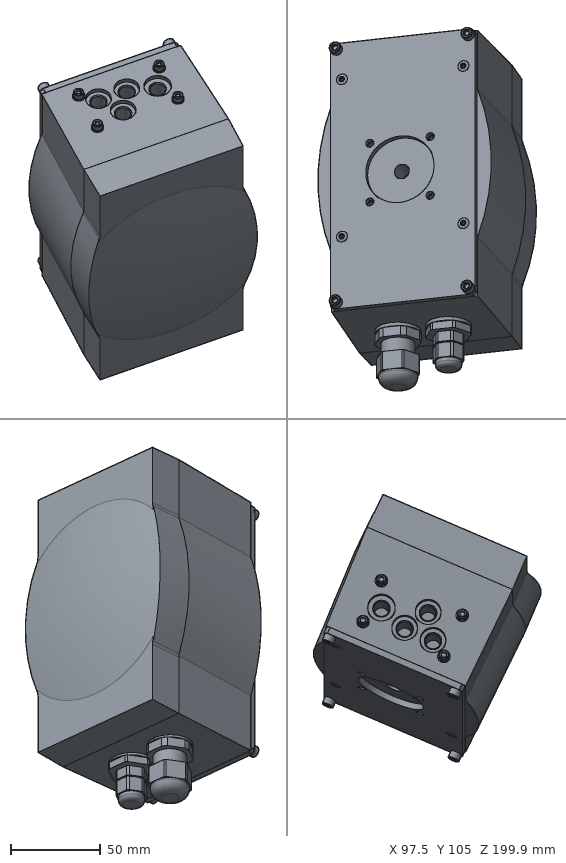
import cadquery as cq


OVERALL_HEIGHT = 199.9

JOINT_HALF_WIDTH = 44.5
JOINT_HALF_HEIGHT = 81.8
JOINT_BULGE = 52.5
BULGE_HALF_HEIGHT = 44.5
BASE_DEPTH = 61.0
BASE_DRAFT = 1.8
DRAFT_SLOPE = BASE_DRAFT / BASE_DEPTH

LID_FLAT_X = 82.0
DOME_TOP_X = 89.8
DOME_RIM_RADIUS = 60.5
LID_DRAFT = 0.7
BULGE_BLEND_RADIUS = 6.0

PLATE_THICKNESS = 3.5
PLATE_WIDTH = 84.8
PLATE_HEIGHT = 2 * (JOINT_HALF_HEIGHT - BASE_DRAFT)
PLATE_CORNER_CHAMFER = 2.0

SHAFT_Y = 1.5
SHAFT_OPENING_DIAMETER = 40.0
SHAFT_BORE_DIAMETER = 8.5
SHAFT_BORE_DEPTH = 16.0
FIXING_HOLE_SPACING = 35.4
FIXING_HOLE_DIAMETER = 4.5
FIXING_THREAD_DIAMETER = 3.2
FIXING_THREAD_DEPTH = 6.0
FIXING_HOLES = [
    (SHAFT_Y + side_y * FIXING_HOLE_SPACING / 2, side_z * FIXING_HOLE_SPACING / 2)
    for side_y in (-1, 1)
    for side_z in (-1, 1)
]

RAISED_HEAD_DIAMETER = 6.4
RAISED_HEAD_TOP_DIAMETER = 3.2
RAISED_HEAD_HEIGHT = 0.5
RAISED_HEAD_SOCKET_DIAMETER = 2.0
RAISED_HEAD_SOCKET_DEPTH = 1.5
RAISED_HEAD_Y = 35.5
RAISED_HEAD_UPPER_Z = 58.0
RAISED_HEAD_LOWER_Z = -36.8

CORNER_SCREW_INSET = 3.8
CORNER_SCREW_DIAMETER = 6.5
CORNER_SCREW_HEIGHT = 4.2
CORNER_SCREW_CHAMFER = 0.4
CORNER_SOCKET_MOUTH = 4.0
CORNER_SOCKET_SIZE = 3.0
CORNER_SOCKET_DEPTH = 2.0

TOP_SCREW_X = (10.4, 36.0)
TOP_SCREW_Y = 24.8
TOP_SCREW_DIAMETER = 5.5
TOP_SCREW_HEIGHT = 4.2
TOP_SCREW_CHAMFER = 0.4
TOP_SCREW_COLLAR_DIAMETER = 7.0
TOP_SCREW_COLLAR_HEIGHT = 0.5
TOP_SCREW_SOCKET_DIAMETER = 3.0
TOP_SCREW_SOCKET_DEPTH = 1.5
TOP_SCREW_ROOT = 2.0
TALLEST_SCREW_TOP_Z = JOINT_HALF_HEIGHT - BASE_DRAFT + DRAFT_SLOPE * max(TOP_SCREW_X) + TOP_SCREW_HEIGHT

PORTS = (
    (22.0, 18.5, 15.4),
    (16.5, 2.0, 14.4),
    (16.5, -15.4, 14.4),
    (30.2, -6.4, 14.4),
)
PORT_RECESS_DEPTH = 2.8
PORT_BORE_DIAMETER = 8.5
PORT_MOUTH_DIAMETER = 9.8
PORT_BORE_DEPTH = 16.0

GLAND_X = 36.5
GLAND_Y = 14.8
GLAND_ROOT_Z = -80.0
COLLAR_DIAMETER = 26.0
COLLAR_BOTTOM_Z = -82.8
HEX_CORNER_DIAMETER = 26.4

LARGE_FLANGE_FLATS = 24.4
LARGE_FLANGE_BOTTOM_Z = -88.4
LARGE_NECK_DIAMETER = 19.2
LARGE_NUT_TOP_Z = -96.7
LARGE_NUT_BOTTOM_Z = -107.7
LARGE_NUT_FLATS = 22.2
LARGE_NUT_CORNER_DIAMETER = 25.0
LARGE_DOME_BOTTOM_Z = TALLEST_SCREW_TOP_Z - OVERALL_HEIGHT
LARGE_DOME_RADIUS = 6.0

SMALL_FLANGE_FLATS = 23.5
SMALL_FLANGE_BOTTOM_Z = -87.2
SMALL_HEX_FLATS = 16.0
SMALL_HEX_CORNER_DIAMETER = 17.5
SMALL_HEX_BOTTOM_Z = -102.7
SMALL_GROOVE_Z = -93.5
SMALL_GROOVE_WIDTH = 0.5
SMALL_GROOVE_DIAMETER = 15.8
SMALL_CAP_DIAMETER = 14.8
SMALL_CAP_BOTTOM_Z = -107.5
SMALL_CAP_RADIUS = 2.8


def x_rod(x_start, x_end, y, z, diameter):
    """Cylinder along X."""
    return cq.Workplane("YZ", origin=(x_start, y, z)).circle(diameter / 2).extrude(x_end - x_start)


def z_rod(x, y, z_start, z_end, diameter):
    """Cylinder along Z."""
    return cq.Workplane("XY", origin=(x, y, z_start)).circle(diameter / 2).extrude(z_end - z_start)


def cone(start, direction, start_diameter, end_diameter, length):
    """Truncated cone, or a countersink when used as a cutter."""
    base_point = cq.Vector(*start)
    axis = cq.Vector(*direction)
    return cq.Workplane(cq.Solid.makeCone(start_diameter / 2, end_diameter / 2, length, base_point, axis))



def outline(x, inset):
    """Closed wire at x: a rectangle with bulging sides, shrunk all round by inset."""
    width = JOINT_HALF_WIDTH - inset
    height = JOINT_HALF_HEIGHT - inset
    bulge = JOINT_BULGE - inset
    sketch = (
        cq.Workplane("YZ", origin=(x, 0, 0))
        .moveTo(-width, -height)
        .lineTo(width, -height)
        .lineTo(width, -BULGE_HALF_HEIGHT)
        .threePointArc((bulge, 0), (width, BULGE_HALF_HEIGHT))
        .lineTo(width, height)
        .lineTo(-width, height)
        .lineTo(-width, BULGE_HALF_HEIGHT)
        .threePointArc((-bulge, 0), (-width, -BULGE_HALF_HEIGHT))
        .close()
    )
    return sketch.val()


def tapered_block(x_start, inset_start, x_end, inset_end):
    wires = [outline(x_start, inset_start), outline(x_end, inset_end)]
    return cq.Workplane(cq.Solid.makeLoft(wires, True))


def top_face_z(x):
    """Height of the sloping top face of the base at x."""
    return JOINT_HALF_HEIGHT - BASE_DRAFT + DRAFT_SLOPE * x


def port_cutter(x, y, recess_diameter):
    surface = top_face_z(x)
    floor = surface - PORT_RECESS_DEPTH
    mouth_depth = (PORT_MOUTH_DIAMETER - PORT_BORE_DIAMETER) / 2
    recess = z_rod(x, y, floor, surface + PORT_RECESS_DEPTH, recess_diameter)
    bore = z_rod(x, y, floor - PORT_BORE_DEPTH, floor, PORT_BORE_DIAMETER)
    mouth = cone((x, y, floor), (0, 0, -1), PORT_MOUTH_DIAMETER, PORT_BORE_DIAMETER, mouth_depth)
    return recess.union(bore).union(mouth)


def top_screw(x, y):
    """Socket screw with a low collar, part of the base."""
    surface = top_face_z(x)
    root = surface - TOP_SCREW_ROOT
    top = surface + TOP_SCREW_HEIGHT
    head = z_rod(x, y, root, top, TOP_SCREW_DIAMETER).faces(">Z").chamfer(TOP_SCREW_CHAMFER)
    collar = z_rod(x, y, root, surface + TOP_SCREW_COLLAR_HEIGHT, TOP_SCREW_COLLAR_DIAMETER)
    socket = z_rod(x, y, top - TOP_SCREW_SOCKET_DEPTH, top, TOP_SCREW_SOCKET_DIAMETER)
    return head.union(collar).cut(socket)


def make_base():
    base = tapered_block(0, BASE_DRAFT, BASE_DEPTH, 0)
    base = base.cut(x_rod(0, SHAFT_BORE_DEPTH, SHAFT_Y, 0, SHAFT_BORE_DIAMETER))
    for y, z in FIXING_HOLES:
        base = base.cut(x_rod(0, FIXING_THREAD_DEPTH, y, z, FIXING_THREAD_DIAMETER))
    for x, y, recess_diameter in PORTS:
        base = base.cut(port_cutter(x, y, recess_diameter))
    for x in TOP_SCREW_X:
        for y in (-TOP_SCREW_Y, TOP_SCREW_Y):
            base = base.union(top_screw(x, y))
    return base


def make_lid():
    block = tapered_block(BASE_DEPTH, 0, DOME_TOP_X, LID_DRAFT)
    middle_x = (BASE_DEPTH + DOME_TOP_X) / 2
    middle_y = JOINT_HALF_WIDTH - LID_DRAFT / 2
    for side in (-1, 1):
        for end in (-1, 1):
            edge_middle = (middle_x, side * middle_y, end * BULGE_HALF_HEIGHT)
            block = block.edges(cq.NearestToPointSelector(edge_middle)).fillet(BULGE_BLEND_RADIUS)

    dome_height = DOME_TOP_X - LID_FLAT_X
    sphere_radius = (DOME_RIM_RADIUS**2 + dome_height**2) / (2 * dome_height)
    sphere = cq.Workplane("XY", origin=(DOME_TOP_X - sphere_radius, 0, 0)).sphere(sphere_radius)
    flat_depth = LID_FLAT_X - BASE_DEPTH
    flat_part = (
        cq.Workplane("YZ", origin=(BASE_DEPTH, 0, 0))
        .rect(2 * JOINT_HALF_WIDTH, 2 * JOINT_HALF_HEIGHT)
        .extrude(flat_depth)
    )
    return block.intersect(flat_part).union(block.intersect(sphere))



def add_raised_head(plate, y, z):
    """Low conical head with a round socket."""
    start = (-PLATE_THICKNESS, y, z)
    head = cone(start, (-1, 0, 0), RAISED_HEAD_DIAMETER, RAISED_HEAD_TOP_DIAMETER, RAISED_HEAD_HEIGHT)
    top = -PLATE_THICKNESS - RAISED_HEAD_HEIGHT
    socket = x_rod(top, top + RAISED_HEAD_SOCKET_DEPTH, y, z, RAISED_HEAD_SOCKET_DIAMETER)
    return plate.union(head).cut(socket)


def make_plate():
    plate = (
        cq.Workplane("YZ", origin=(-PLATE_THICKNESS, 0, 0))
        .rect(PLATE_WIDTH, PLATE_HEIGHT)
        .extrude(PLATE_THICKNESS)
        .edges("|X")
        .chamfer(PLATE_CORNER_CHAMFER)
    )
    plate = plate.cut(x_rod(-PLATE_THICKNESS, 0, SHAFT_Y, 0, SHAFT_OPENING_DIAMETER))
    for y, z in FIXING_HOLES:
        plate = plate.cut(x_rod(-PLATE_THICKNESS, 0, y, z, FIXING_HOLE_DIAMETER))
    for y in (-RAISED_HEAD_Y, RAISED_HEAD_Y):
        for z in (RAISED_HEAD_LOWER_Z, RAISED_HEAD_UPPER_Z):
            plate = add_raised_head(plate, y, z)
    return plate


def make_corner_screw(y, z):
    """Cylindrical head with a hexagon socket, seated on the plate."""
    top = -PLATE_THICKNESS - CORNER_SCREW_HEIGHT
    head = x_rod(top, -PLATE_THICKNESS, y, z, CORNER_SCREW_DIAMETER).faces("<X").chamfer(CORNER_SCREW_CHAMFER)
    hexagon = cq.Workplane("YZ", origin=(top, y, z)).polygon(6, CORNER_SOCKET_SIZE, circumscribed=True)
    mouth_depth = (CORNER_SOCKET_MOUTH - CORNER_SOCKET_SIZE) / 2
    mouth = cone((top, y, z), (1, 0, 0), CORNER_SOCKET_MOUTH, CORNER_SOCKET_SIZE, mouth_depth)
    return head.cut(hexagon.extrude(CORNER_SOCKET_DEPTH)).cut(mouth)



def gland_hexagon(y, z_top, z_bottom, flats, corner_diameter):
    """Hexagon with two flats facing +X and -X and its corners turned round."""
    hexagon = (
        cq.Workplane("XY", origin=(GLAND_X, y, z_bottom))
        .polygon(6, flats, circumscribed=True)
        .extrude(z_top - z_bottom)
    )
    return hexagon.intersect(z_rod(GLAND_X, y, z_bottom, z_top, corner_diameter))


def gland_rod(y, z_top, z_bottom, diameter):
    return z_rod(GLAND_X, y, z_bottom, z_top, diameter)


def make_large_gland(base):
    y = GLAND_Y
    collar = gland_rod(y, GLAND_ROOT_Z, COLLAR_BOTTOM_Z, COLLAR_DIAMETER)
    flange = gland_hexagon(y, COLLAR_BOTTOM_Z, LARGE_FLANGE_BOTTOM_Z, LARGE_FLANGE_FLATS, HEX_CORNER_DIAMETER)
    neck = gland_rod(y, LARGE_FLANGE_BOTTOM_Z, LARGE_NUT_TOP_Z, LARGE_NECK_DIAMETER)
    return collar.union(flange).union(neck).cut(base)


def make_large_nut():
    y = GLAND_Y
    nut = gland_hexagon(y, LARGE_NUT_TOP_Z, LARGE_NUT_BOTTOM_Z, LARGE_NUT_FLATS, LARGE_NUT_CORNER_DIAMETER)
    dome = gland_rod(y, LARGE_NUT_BOTTOM_Z, LARGE_DOME_BOTTOM_Z, LARGE_NUT_FLATS)
    return nut.union(dome.faces("<Z").edges().fillet(LARGE_DOME_RADIUS))


def make_small_gland(base):
    y = -GLAND_Y
    collar = gland_rod(y, GLAND_ROOT_Z, COLLAR_BOTTOM_Z, COLLAR_DIAMETER)
    flange = gland_hexagon(y, COLLAR_BOTTOM_Z, SMALL_FLANGE_BOTTOM_Z, SMALL_FLANGE_FLATS, HEX_CORNER_DIAMETER)
    groove_top = SMALL_GROOVE_Z + SMALL_GROOVE_WIDTH / 2
    groove_bottom = SMALL_GROOVE_Z - SMALL_GROOVE_WIDTH / 2
    upper = gland_hexagon(y, SMALL_FLANGE_BOTTOM_Z, groove_top, SMALL_HEX_FLATS, SMALL_HEX_CORNER_DIAMETER)
    groove = gland_rod(y, groove_top, groove_bottom, SMALL_GROOVE_DIAMETER)
    lower = gland_hexagon(y, groove_bottom, SMALL_HEX_BOTTOM_Z, SMALL_HEX_FLATS, SMALL_HEX_CORNER_DIAMETER)
    cap = gland_rod(y, SMALL_HEX_BOTTOM_Z, SMALL_CAP_BOTTOM_Z, SMALL_CAP_DIAMETER)
    cap = cap.faces("<Z").edges().fillet(SMALL_CAP_RADIUS)
    return collar.union(flange).union(upper).union(groove).union(lower).union(cap).cut(base)



base = make_base()
lid = make_lid()
plate = make_plate()
large_gland = make_large_gland(base)
large_nut = make_large_nut()
small_gland = make_small_gland(base)

corner_screws = []
for side_y in (-1, 1):
    for side_z in (-1, 1):
        screw_y = side_y * (PLATE_WIDTH / 2 - CORNER_SCREW_INSET)
        screw_z = side_z * (PLATE_HEIGHT / 2 - CORNER_SCREW_INSET)
        corner_screws.append(make_corner_screw(screw_y, screw_z).val())

result = cq.Compound.makeCompound([
    base.val(),
    lid.val(),
    plate.val(),
    large_gland.val(),
    large_nut.val(),
    small_gland.val(),
    *corner_screws,
])